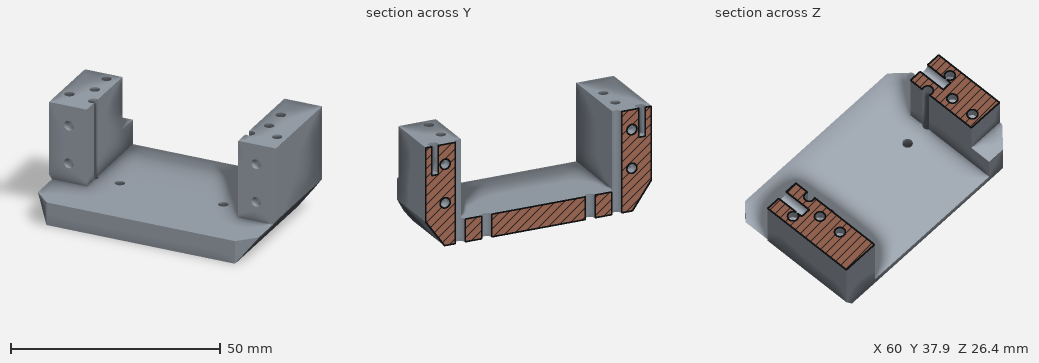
import cadquery as cq

width = 60.0
depth = 37.9
height = 26.35

plate_thickness = 6.0
pillar_width = 9.95
pillar_length = 25.8
pillar_front = depth - pillar_length

side_bevel_width = 5.05
side_bevel_height = 7.1
back_bevel_width = 3.0
back_bevel_height = 4.3
corner_cut = side_bevel_width

step_length = 5.8
step_floor = 12.5

hole_diameter = 2.5
blind_depth = 7.5
through_x = (13.7, 20.75)
through_y = 17.15
front_hole_x = width / 2 - 5.2
front_hole_z = (11.1, 21.1)
outer_screw_x = width / 2 - 2.5
outer_screw_y = 18.1
screw_spacing = 6.55
inner_screw_x = 23.1
left_screw_y = 23.05
right_screw_y = 22.85


def box_between(low, high):
    """Box spanning two opposite corners."""
    size = [b - a for a, b in zip(low, high)]
    return cq.Workplane("XY").box(*size, centered=False).translate(low)


def body():
    """Plate with a full-length profile of two pillars, cut away in front of them."""
    half = width / 2
    bottom_half = half - side_bevel_width
    inner_half = half - pillar_width
    profile = [
        (-bottom_half, 0),
        (bottom_half, 0),
        (half, side_bevel_height),
        (half, height),
        (inner_half, height),
        (inner_half, plate_thickness),
        (-inner_half, plate_thickness),
        (-inner_half, height),
        (-half, height),
        (-half, side_bevel_height),
    ]
    solid = cq.Workplane("XZ").polyline(profile).close().extrude(-depth)
    front_space = box_between((-half, 0, plate_thickness), (half, pillar_front, height))
    return solid.cut(front_space)


def corner_wedge(x_side, y_corner, y_inward):
    """Upright 45 degree wedge that trims one corner of the plan outline."""
    x_corner = x_side * width / 2
    outline = [
        (x_corner, y_corner),
        (x_corner - x_side * corner_cut, y_corner),
        (x_corner, y_corner + y_inward * corner_cut),
    ]
    return cq.Workplane("XY").polyline(outline).close().extrude(height)


def back_bevel():
    """Wedge below the back face, running the full width."""
    outline = [(depth, 0), (depth - back_bevel_width, 0), (depth, back_bevel_height)]
    return cq.Workplane("YZ").polyline(outline).close().extrude(width / 2, both=True)


def left_step():
    """Space above the lowered back end of the left pillar."""
    return box_between(
        (-width / 2, depth - step_length, step_floor),
        (-width / 2 + pillar_width, depth, height),
    )


def vertical_holes(points, bottom):
    """Holes along Z from the pillar tops down to the given level."""
    sketch = cq.Workplane("XY", origin=(0, 0, bottom)).pushPoints(points)
    return sketch.circle(hole_diameter / 2).extrude(height - bottom)


def front_holes():
    """Blind holes along Y in the front faces of both pillars."""
    points = [(side * front_hole_x, z) for side in (-1, 1) for z in front_hole_z]
    sketch = cq.Workplane("XZ", origin=(0, pillar_front, 0)).pushPoints(points)
    return sketch.circle(hole_diameter / 2).extrude(-blind_depth)


through_points = [(side * x, through_y) for side in (-1, 1) for x in through_x]
screw_points = [
    (-inner_screw_x, left_screw_y),
    (-inner_screw_x, left_screw_y + screw_spacing),
    (-outer_screw_x, outer_screw_y),
    (inner_screw_x, right_screw_y),
    (inner_screw_x, right_screw_y + screw_spacing),
    (outer_screw_x, outer_screw_y),
]

result = body().cut(back_bevel()).cut(left_step())
for x_side, y_corner, y_inward in ((-1, 0, 1), (1, 0, 1), (-1, depth, -1)):
    result = result.cut(corner_wedge(x_side, y_corner, y_inward))
result = result.cut(vertical_holes(through_points, 0))
result = result.cut(vertical_holes(screw_points, height - blind_depth))
result = result.cut(front_holes())